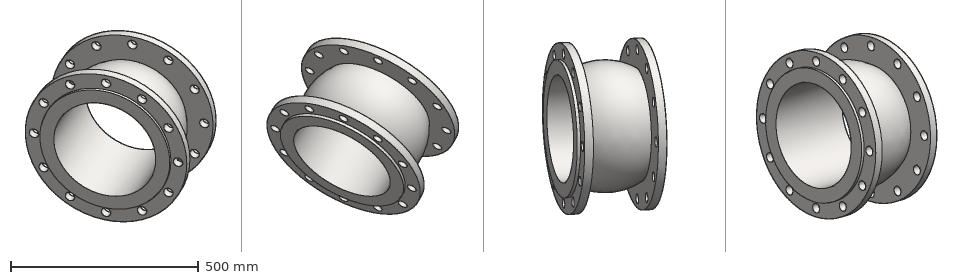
import cadquery as cq
import math

length = 245.0
flange_diameter = 460.0
flange_thickness = 24.0
face_diameter = 370.0
face_height = 9.0
bore_diameter = 290.0
bulge_diameter = 356.0
bolt_circle_diameter = 410.0
bolt_hole_diameter = 26.0
bolt_count = 12


def disc(diameter, start, thickness):
    """Solid disc along Y that begins at Y = start."""
    return cq.Workplane("XZ", origin=(0, start, 0)).circle(diameter / 2).extrude(-thickness)


def front_flange():
    """Drilled flange with a raised sealing face on the -Y end."""
    face = disc(face_diameter, -length / 2, face_height)
    plate = disc(flange_diameter, -length / 2 + face_height, flange_thickness)
    holes = (
        cq.Workplane("XZ", origin=(0, -length / 2, 0))
        .polarArray(bolt_circle_diameter / 2, 0, 360, bolt_count)
        .circle(bolt_hole_diameter / 2)
        .extrude(-(face_height + flange_thickness))
    )
    return face.union(plate).cut(holes)


def bulge():
    """Spherical body between the inner faces of the two flanges."""
    radius = bulge_diameter / 2
    half_gap = length / 2 - face_height - flange_thickness
    end_radius = math.sqrt(radius**2 - half_gap**2)
    return (
        cq.Workplane("XY")
        .moveTo(0, -half_gap)
        .lineTo(end_radius, -half_gap)
        .threePointArc((radius, 0), (end_radius, half_gap))
        .lineTo(0, half_gap)
        .close()
        .revolve(360, (0, 0), (0, 1))
    )


flange = front_flange()
bore = disc(bore_diameter, -length / 2, length)
result = bulge().union(flange).union(flange.mirror("XZ")).cut(bore)